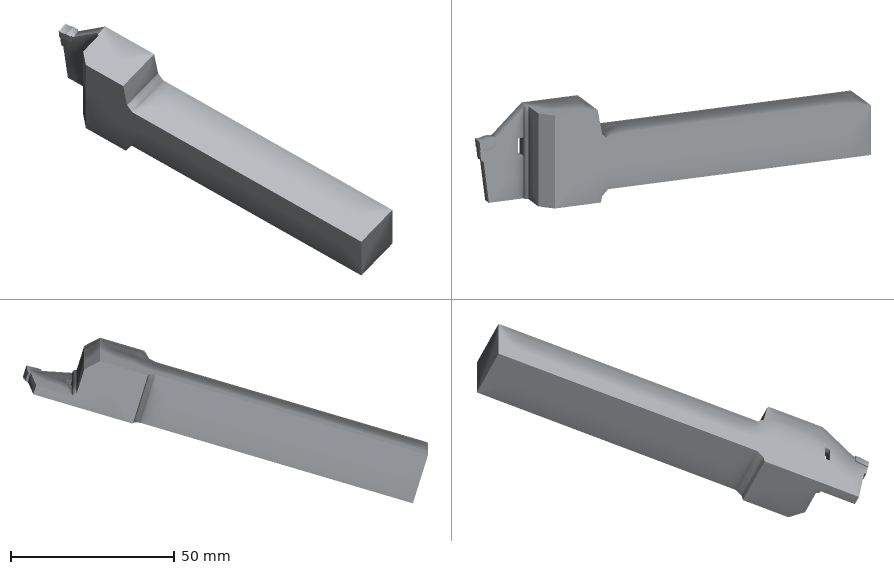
import cadquery as cq

TOTAL_LENGTH = 124.9
HOLDER_WIDTH = 16.0
HEAD_HEIGHT = 30.0
SHANK_BOTTOM = 4.0
SHANK_TOP = 20.0

HEAD_FRONT = 15.9
HEAD_CHAMFER = 3.9
HEAD_BACK_TOP = 34.0
HEAD_BACK_WAIST = 35.5
HEAD_BACK_BOTTOM = 35.1
WAIST_CHAMFER = 2.0
SHANK_START = HEAD_BACK_WAIST + WAIST_CHAMFER
UPPER_WAIST = SHANK_TOP + WAIST_CHAMFER
LOWER_WAIST = SHANK_BOTTOM - WAIST_CHAMFER

BLADE_THICKNESS = 3.0
BLADE_FILLET = 1.1
BLADE_TOP_FRONT = 15.4
BLADE_BOTTOM_FRONT = 3.2
BLADE_SEAT_FRONT = 1.5
JAW_TIP_X = 5.4
JAW_TIP_Z = 20.7
JAW_ROOT_X = 6.0
JAW_NOSE_X = 5.7
JAW_NOSE_TOP = 21.1

SEAT_BOTTOM = 13.6
SEAT_TOP = 19.6
SEAT_MIDDLE = (SEAT_BOTTOM + SEAT_TOP) / 2
SEAT_END = HEAD_FRONT - BLADE_FILLET
V_DEPTH = 0.31

INSERT_END = 13.0
INSERT_OVERHANG = 0.4
INSERT_FRONT_BOTTOM = 0.9
HEEL_HEIGHT = 0.7
HEEL_FRONT = 0.6
TIP_TOP = 20.2
TIP_BACK = 4.6
TIP_BACK_BOTTOM = 18.2
TIP_FRONT_BOTTOM = 17.4
CHIP_GROOVE_MID = (1.2, 20.2)
CHIP_GROOVE_END = (2.4, 20.5)
TIP_FLAT_START = 2.9

HEEL_TOP = SEAT_BOTTOM + HEEL_HEIGHT
RELIEF_SLOPE = HEEL_FRONT / (TIP_TOP - HEEL_TOP)


def side_plate(points, back, thickness):
    """Extrude an XZ outline toward -Y, starting at Y = back."""
    return cq.Workplane("XZ", origin=(0, back, 0)).polyline(points).close().extrude(thickness)


def seat_bar(start, end):
    """Bar along X with a V groove along the middle of its top and bottom."""
    middle = -BLADE_THICKNESS / 2
    section = [
        (0, SEAT_BOTTOM),
        (middle, SEAT_BOTTOM + V_DEPTH),
        (-BLADE_THICKNESS, SEAT_BOTTOM),
        (-BLADE_THICKNESS, SEAT_TOP),
        (middle, SEAT_TOP - V_DEPTH),
        (0, SEAT_TOP),
    ]
    return cq.Workplane("YZ", origin=(start, 0, 0)).polyline(section).close().extrude(end - start)


def make_holder():
    outline = [
        (BLADE_BOTTOM_FRONT, 0),
        (HEAD_BACK_BOTTOM, 0),
        (HEAD_BACK_WAIST, LOWER_WAIST),
        (SHANK_START, SHANK_BOTTOM),
        (TOTAL_LENGTH, SHANK_BOTTOM),
        (TOTAL_LENGTH, SHANK_TOP),
        (SHANK_START, SHANK_TOP),
        (HEAD_BACK_WAIST, UPPER_WAIST),
        (HEAD_BACK_TOP, HEAD_HEIGHT),
        (BLADE_TOP_FRONT, HEAD_HEIGHT),
        (JAW_NOSE_X, JAW_NOSE_TOP),
        (JAW_TIP_X, JAW_TIP_Z),
        (JAW_ROOT_X, SEAT_TOP),
        (JAW_ROOT_X, SEAT_MIDDLE),
        (BLADE_SEAT_FRONT, SEAT_MIDDLE),
        (BLADE_SEAT_FRONT, SEAT_BOTTOM),
    ]
    profile = side_plate(outline, 0, HOLDER_WIDTH)

    plan = (
        cq.Workplane("XY")
        .lineTo(SEAT_END, 0)
        .lineTo(TOTAL_LENGTH, 0)
        .lineTo(TOTAL_LENGTH, -HOLDER_WIDTH)
        .lineTo(HEAD_FRONT + HEAD_CHAMFER, -HOLDER_WIDTH)
        .lineTo(HEAD_FRONT, HEAD_CHAMFER - HOLDER_WIDTH)
        .lineTo(HEAD_FRONT, -BLADE_THICKNESS - BLADE_FILLET)
        .radiusArc((SEAT_END, -BLADE_THICKNESS), BLADE_FILLET)
        .lineTo(0, -BLADE_THICKNESS)
        .close()
        .extrude(HEAD_HEIGHT)
    )
    return profile.intersect(plan).cut(seat_bar(0, SEAT_END))


def relief(height):
    """X of the front face of the insert at a given height."""
    return RELIEF_SLOPE * (TIP_TOP - height)


def make_tip():
    """Wide cutting tip with a shallow concave chip groove on top."""
    width = BLADE_THICKNESS + 2 * INSERT_OVERHANG
    return (
        cq.Workplane("XZ", origin=(0, INSERT_OVERHANG, 0))
        .moveTo(0, TIP_TOP)
        .threePointArc(CHIP_GROOVE_MID, CHIP_GROOVE_END)
        .lineTo(TIP_FLAT_START, JAW_TIP_Z)
        .lineTo(TIP_BACK, JAW_TIP_Z)
        .lineTo(TIP_BACK, TIP_BACK_BOTTOM)
        .lineTo(relief(TIP_FRONT_BOTTOM), TIP_FRONT_BOTTOM)
        .close()
        .extrude(width)
    )


def make_insert():
    grooved_bar = seat_bar(0, INSERT_END)
    nose = [
        (HEEL_FRONT, HEEL_TOP),
        (INSERT_FRONT_BOTTOM, SEAT_BOTTOM),
        (INSERT_END, SEAT_BOTTOM),
        (INSERT_END, SEAT_TOP),
        (relief(SEAT_TOP), SEAT_TOP),
    ]
    body = grooved_bar.intersect(side_plate(nose, 0, BLADE_THICKNESS))

    neck = [
        (TIP_BACK, TIP_BACK_BOTTOM),
        (JAW_ROOT_X, TIP_BACK_BOTTOM),
        (JAW_ROOT_X, SEAT_TOP),
        (JAW_TIP_X, JAW_TIP_Z),
        (TIP_BACK, JAW_TIP_Z),
    ]
    return body.union(side_plate(neck, 0, BLADE_THICKNESS)).union(make_tip())


holder = make_holder()
insert = make_insert()
result = cq.Compound.makeCompound([holder.val(), insert.val()])